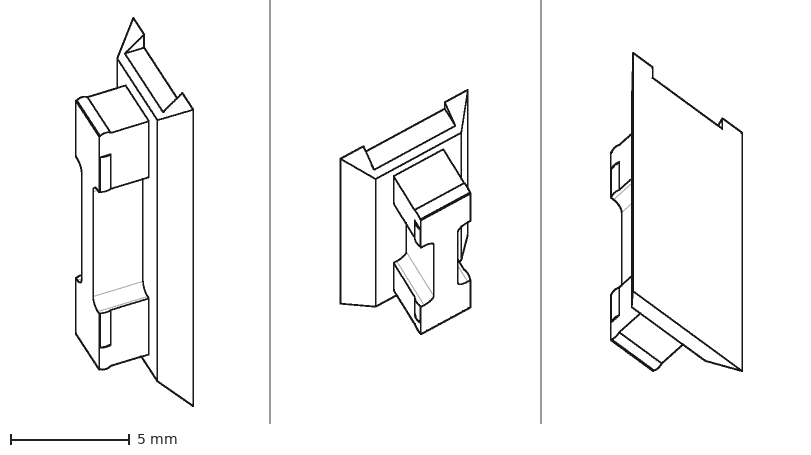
import cadquery as cq

plate_width = 6.21
plate_height = 17.09
plate_thickness = 1.2
edge_inset = 1.02

notch_width = 3.95
notch_depth = 0.76

overall_depth = 3.5
stem_width = 2.42
stem_height = 13.43
waist_width = 1.18
waist_opening_height = 6.98
waist_corner_radius = 0.47

ridge_base = 0.49
ridge_crest = 3.205
end_ridge_rise = 0.097
side_ridge_rise = 0.05
side_ridge_length = 2.0


def make_plate():
    """Tapered slab with its large face on Y = 0, narrowing toward -Y."""
    front_width = plate_width - 2 * edge_inset
    front_height = plate_height - 2 * edge_inset
    return (
        cq.Workplane("XZ")
        .rect(plate_width, plate_height)
        .workplane(offset=plate_thickness)
        .rect(front_width, front_height)
        .loft(ruled=True)
    )


def make_notch():
    """Cutter for the flat-bottomed notch in the middle of the top edge."""
    return (
        cq.Workplane("XY", origin=(0, 0, plate_height / 2 - notch_depth))
        .rect(notch_width, 2 * plate_thickness)
        .extrude(notch_depth)
    )


def make_stem():
    """Dumbbell-shaped stem, with fillets where the waist meets the blocks."""
    stem_length = overall_depth - plate_thickness
    stem = (
        cq.Workplane("XZ", origin=(0, -plate_thickness, 0))
        .rect(stem_width, stem_height)
        .extrude(stem_length)
    )
    for side in (-1, 1):
        opening = (
            cq.Workplane("XZ", origin=(side * waist_width / 2, -plate_thickness, 0))
            .rect(stem_width, waist_opening_height)
            .extrude(stem_length)
            .edges("|Y")
            .fillet(waist_corner_radius)
            .translate((side * stem_width / 2, 0, 0))
        )
        stem = stem.cut(opening)
    return stem


def make_ridge(plane, surface, rise, length):
    """Ridge on a flat surface: a shallow arc rising to its crest midway.

    The sketch plane's first axis points out of the surface and its second along Y.
    """
    half_base = ridge_base / 2
    crest = (surface + rise, -ridge_crest)
    finish = (surface, -half_base - ridge_crest)
    return (
        plane
        .moveTo(surface, half_base - ridge_crest)
        .threePointArc(crest, finish)
        .close()
        .extrude(length)
    )


def make_end_ridge():
    """Ridge across the full width of the stem's top end."""
    stem_side = (stem_width / 2, 0, 0)
    plane = cq.Workplane(cq.Plane(origin=stem_side, xDir=(0, 0, 1), normal=(-1, 0, 0)))
    return make_ridge(plane, stem_height / 2, end_ridge_rise, stem_width)


def make_side_ridge():
    """Ridge on the +X side of the upper block, starting at the waist opening."""
    plane = cq.Workplane("XY", origin=(0, 0, waist_opening_height / 2))
    return make_ridge(plane, stem_width / 2, side_ridge_rise, side_ridge_length)


result = make_plate().cut(make_notch()).union(make_stem())

end_ridge = make_end_ridge()
right_ridge = make_side_ridge()
left_ridge = right_ridge.mirror("YZ")

for ridge in (end_ridge, right_ridge, left_ridge):
    result = result.union(ridge)
    result = result.union(ridge.mirror("XY"))